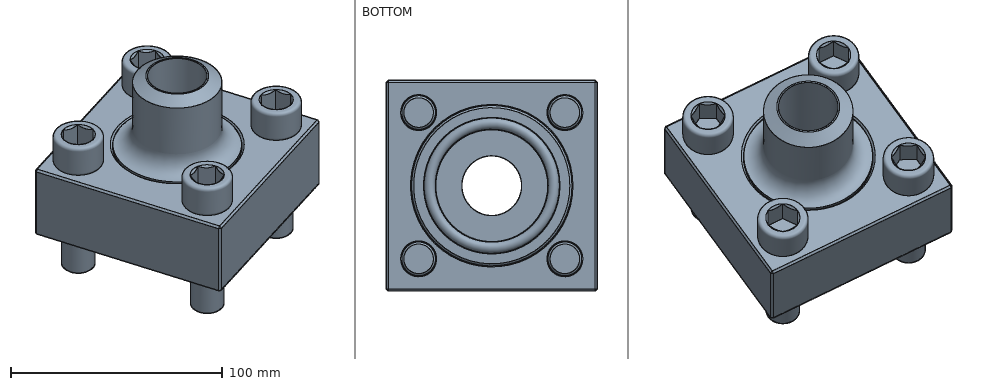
import cadquery as cq
import math

flange_side = 100.0
flange_height = 38.0
flange_bottom = 22.0
flange_top = flange_bottom + flange_height
edge_chamfer = 1.0

pipe_diameter = 42.4
bore_diameter = 28.2
nipple_top = 100.0
weld_land = 0.8
weld_bevel_angle = 30.0
neck_diameter = 61.0
neck_hole_diameter = 61.5
neck_fillet = (neck_diameter - pipe_diameter) / 2
collar_diameter = 76.0
collar_recess_diameter = 77.0
collar_bottom = 19.8
collar_top = 40.0
collar_chamfer = 1.0

groove_inner_diameter = 53.0
groove_outer_diameter = 64.7
ring_section = 5.3
ring_projection = 1.2
ring_mean_diameter = (groove_inner_diameter + groove_outer_diameter) / 2
groove_depth = ring_section - ring_projection

bolt_circle_diameter = 98.0
bolt_count = 4
first_bolt_angle = 45.0
shank_diameter = 16.0
shank_length = flange_top
shank_chamfer = 1.0
bolt_hole_diameter = 17.0
head_diameter = 24.0
head_height = 16.0
head_fillet = 1.6
socket_across_flats = 14.0
socket_across_corners = socket_across_flats * 2 / math.sqrt(3)
socket_depth = 12.0
socket_turn = 15.0
socket_lead_in_angle = 45.0

bolt_angles = [first_bolt_angle + i * 360 / bolt_count for i in range(bolt_count)]

quarter_arc_middle = math.sqrt(0.5)


def cylinder(diameter, bottom, top):
    return cq.Workplane("XY").workplane(offset=bottom).circle(diameter / 2).extrude(top - bottom)


def revolve_about_z(profile):
    """Turn a closed (radius, height) profile about the Z axis."""
    return profile.close().revolve(360, (0, 0, 0), (0, 1, 0))


def place_on_bolt_circle(body, angle):
    """Move a body from the Z axis out to the bolt circle and turn it with its position there."""
    return body.translate((bolt_circle_diameter / 2, 0, 0)).rotate((0, 0, 0), (0, 0, 1), angle)


def make_flange():
    """Chamfered block with a stepped bore for the nipple and a clearance hole for each screw."""
    block = (
        cq.Workplane("XY")
        .workplane(offset=flange_bottom)
        .rect(flange_side, flange_side)
        .extrude(flange_height)
        .edges()
        .chamfer(edge_chamfer)
    )
    block = block.cut(cylinder(neck_hole_diameter, flange_bottom, flange_top))
    block = block.faces(">Z").edges("%CIRCLE").chamfer(edge_chamfer)
    block = block.cut(cylinder(collar_recess_diameter, flange_bottom, collar_top))
    bolt_hole = cylinder(bolt_hole_diameter, flange_bottom, flange_top)
    for angle in bolt_angles:
        block = block.cut(place_on_bolt_circle(bolt_hole, angle))
    return block


def make_nipple():
    """Bored pipe stub flaring into a neck and collar, with a seal groove in its lower face."""
    bore = bore_diameter / 2
    pipe = pipe_diameter / 2
    neck = neck_diameter / 2
    collar = collar_diameter / 2
    tip = bore + weld_land
    bevel_height = (pipe - tip) * math.tan(math.radians(weld_bevel_angle))
    fillet_reach = neck_fillet * (1 - quarter_arc_middle)
    profile = (
        cq.Workplane("XZ")
        .moveTo(bore, collar_bottom)
        .lineTo(collar - collar_chamfer, collar_bottom)
        .lineTo(collar, collar_bottom + collar_chamfer)
        .lineTo(collar, collar_top)
        .lineTo(neck, collar_top)
        .lineTo(neck, flange_top)
        .threePointArc(
            (pipe + fillet_reach, flange_top + fillet_reach),
            (pipe, flange_top + neck_fillet),
        )
        .lineTo(pipe, nipple_top - bevel_height)
        .lineTo(tip, nipple_top)
        .lineTo(bore, nipple_top)
    )
    groove_floor = collar_bottom + groove_depth
    groove_core = cylinder(groove_inner_diameter, collar_bottom, groove_floor)
    groove = cylinder(groove_outer_diameter, collar_bottom, groove_floor).cut(groove_core)
    return revolve_about_z(profile).cut(groove)


def make_seal_ring():
    """Ring of round section, seated on the groove floor and standing out below the nipple."""
    mean_radius = ring_mean_diameter / 2
    centre_height = collar_bottom - ring_projection + ring_section / 2
    return (
        cq.Workplane("XZ")
        .center(mean_radius, centre_height)
        .circle(ring_section / 2)
        .revolve(360, (-mean_radius, 0, 0), (-mean_radius, 1, 0))
    )


def make_bolt(angle):
    """Cap screw with a rounded head and a hexagon socket with a conical lead-in."""
    shank = shank_diameter / 2
    head = head_diameter / 2
    head_top = shank_length + head_height
    fillet_reach = head_fillet * (1 - quarter_arc_middle)
    profile = (
        cq.Workplane("XZ")
        .moveTo(0, 0)
        .lineTo(shank - shank_chamfer, 0)
        .lineTo(shank, shank_chamfer)
        .lineTo(shank, shank_length)
        .lineTo(head - head_fillet, shank_length)
        .threePointArc(
            (head - fillet_reach, shank_length + fillet_reach),
            (head, shank_length + head_fillet),
        )
        .lineTo(head, head_top - head_fillet)
        .threePointArc(
            (head - fillet_reach, head_top - fillet_reach),
            (head - head_fillet, head_top),
        )
        .lineTo(0, head_top)
    )
    socket = (
        cq.Workplane("XY")
        .workplane(offset=head_top - socket_depth)
        .polygon(6, socket_across_corners)
        .extrude(socket_depth)
        .rotate((0, 0, 0), (0, 0, 1), socket_turn)
    )
    cone_radius = socket_across_corners / 2
    cone_depth = cone_radius * math.tan(math.radians(socket_lead_in_angle))
    lead_in = revolve_about_z(
        cq.Workplane("XZ")
        .moveTo(0, head_top - cone_depth)
        .lineTo(cone_radius, head_top)
        .lineTo(0, head_top)
    )
    bolt = revolve_about_z(profile).cut(socket).cut(lead_in)
    return place_on_bolt_circle(bolt, angle)


flange = make_flange()
nipple = make_nipple()
seal_ring = make_seal_ring()
bolts = [make_bolt(angle) for angle in bolt_angles]

result = cq.Compound.makeCompound(
    [flange.val(), nipple.val(), seal_ring.val(), *[bolt.val() for bolt in bolts]]
)